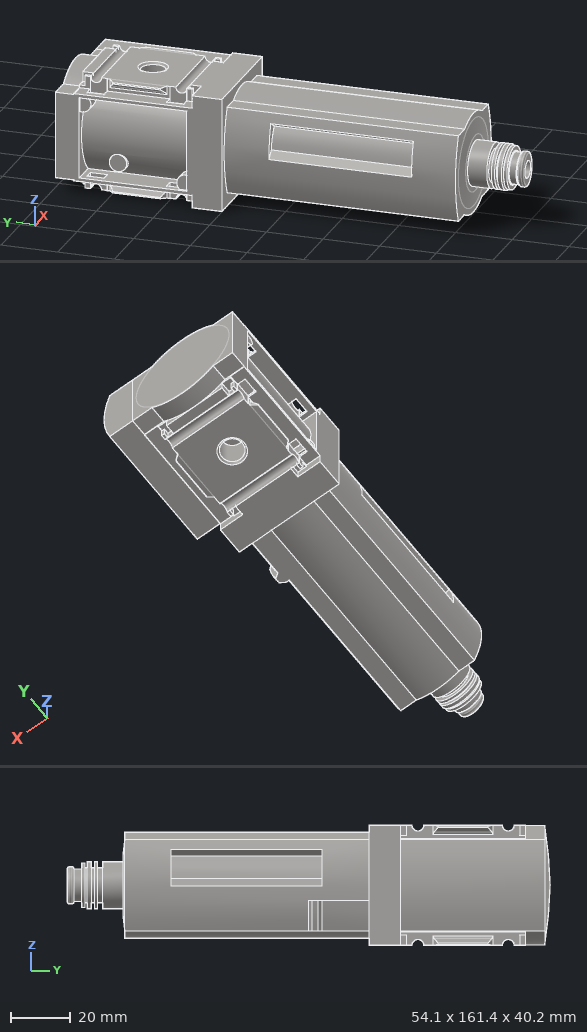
import cadquery as cq


TOTAL_LENGTH = 161.4

HEAD_HALF_WIDTH = 21.0
HEAD_HEIGHT = 40.2
HEAD_HALF_HEIGHT = HEAD_HEIGHT / 2
HEAD_BACK_Y = 58.8
FRONT_BLOCK_DEPTH = 10.5
CAP_THICKNESS = 6.5
CAP_FRONT_Y = HEAD_BACK_Y - CAP_THICKNESS
CAP_RADIUS = 20.0
DOME_HEIGHT = 1.8
DOME_EDGE_RADIUS = 19.5
WAIST_HALF_HEIGHT = 15.7
SIDE_HALF_HEIGHT = 15.3

PORT_Y = (FRONT_BLOCK_DEPTH + CAP_FRONT_Y) / 2
PAD_HALF_WIDTH = 15.2
GROOVE_RADIUS = 2.0
GROOVE_PITCH = 30.2
PORT_DIAMETER = 8.5
PORT_CHAMFER = 0.8
PORT_DEPTH = 12.9
NOTCH_WIDTH = 3.5
NOTCH_FLOOR = 16.6
POST_WIDTH = 1.1
POST_LENGTH = 2.0
WING_REACH = 2.1
WING_LENGTH = 20.0
WING_TAPER = 1.6
WING_TIP_DROP = 0.3
WING_TIP_THICKNESS = 0.5
WING_BEND_REACH = 0.5
WING_BEND_DROP = 2.3
WING_ROOT_DROP = 3.0
SLOT_LENGTH = 6.0
SLOT_OUTER_X = -18.4
SLOT_UNDERCUT = 0.2

POCKET_LENGTH = 38.0
POCKET_HALF_HEIGHT = 14.4
CORE_RADIUS = 18.5
PIN_DIAMETER = 6.1
CORNER_PIN_DY = 18.2
CORNER_PIN_Z = 12.1
CORNER_PIN_END_X = -20.0
MIDDLE_PIN_DY = 6.3
MIDDLE_PIN_Z = -8.5
MIDDLE_PIN_END_X = -17.9
PIN_ROOT_X = -9.7

BOWL_LENGTH = 81.7
BOWL_ROUND_RADIUS = 17.8
BOWL_HALF_WIDTH = 18.5
BOWL_CORNER_X = 15.5
END_CONE_HEIGHT = 0.6
END_CONE_BASE_RADIUS = 15.5
END_CONE_TIP_RADIUS = 9.8
WINDOW_TOP_Y = -15.8
WINDOW_LENGTH = 50.4
WINDOW_FLOOR_RADIUS = 16.3
WINDOW_SECTION = [(-21.0, 14.4), (-13.0, 9.7), (-16.1, 2.3), (-21.0, -2.9)]

LATCH_TOP_Z = -5.2
LATCH_THICKNESS = 1.3
KNOB_HEIGHT = 3.0
KNOB_LENGTH = 4.5
KNOB_TIP_LENGTH = 2.0

NIPPLE_TIP_Y = HEAD_BACK_Y + DOME_HEIGHT - TOTAL_LENGTH
COLLAR_DIAMETER = 15.8
COLLAR_END_Y = -89.1
NECK_DIAMETER = 11.8
NECK_END_Y = -96.2
STEM_DIAMETER = 11.0
STEM_END_Y = -98.6
TIP_WIDTH = 10.0
TIP_HEIGHT = 12.5
TIP_FILLET = 0.6
BORE_DIAMETER = 6.0
BORE_DEPTH = 6.5
NECK_RINGS = [(-90.7, 1.1, 15.8), (-92.8, 1.5, 15.8), (-94.9, 1.1, 15.0)]

COVER_CORNER_X = 30.7
COVER_MAX_X = 33.1


def box(x0, x1, y0, y1, z0, z1):
    """Box between two opposite corners."""
    return cq.Workplane("XY").box(x1 - x0, y1 - y0, z1 - z0, centered=False).translate((x0, y0, z0))


def along_y(y):
    """Sketch plane at height y whose extrusions run towards +Y; its second axis is -Z."""
    return cq.Workplane("XZ", origin=(0, y, 0)).transformed(rotate=(180, 0, 0))


def disc(diameter, y0, y1):
    """Cylinder on the bowl axis from y0 up to y1."""
    return along_y(y0).circle(diameter / 2).extrude(y1 - y0)


def on_both_ports(shape):
    """The shape on the +Z pad together with its mirror image on the -Z pad."""
    return shape.union(shape.mirror("XY"))


def at_corners(shape):
    """The shape and its mirror images about the middle of the pad in X and Y."""
    pair = shape.union(shape.mirror("YZ"))
    return pair.union(pair.mirror("XZ", (0, PORT_Y, 0)))


def head_box(y0, y1, half_height):
    """Box over the full width of the head."""
    return box(-HEAD_HALF_WIDTH, HEAD_HALF_WIDTH, y0, y1, -half_height, half_height)


def make_head_block():
    """Front block, narrower waist and domed cap."""
    block = head_box(0, FRONT_BLOCK_DEPTH, HEAD_HALF_HEIGHT)
    waist = head_box(FRONT_BLOCK_DEPTH, CAP_FRONT_Y, WAIST_HALF_HEIGHT)
    cap = head_box(CAP_FRONT_Y, HEAD_BACK_Y, SIDE_HALF_HEIGHT)
    cap = cap.union(disc(2 * CAP_RADIUS, CAP_FRONT_Y, HEAD_BACK_Y))
    dome_radius = (DOME_EDGE_RADIUS**2 + DOME_HEIGHT**2) / (2 * DOME_HEIGHT)
    dome_top_y = HEAD_BACK_Y + DOME_HEIGHT
    dome = cq.Workplane("XY").sphere(dome_radius).translate((0, dome_top_y - dome_radius, 0))
    dome = dome.intersect(disc(2 * DOME_EDGE_RADIUS, HEAD_BACK_Y, dome_top_y))
    return block.union(waist).union(cap).union(dome)


def make_wing():
    """Dovetail wing on the -X edge of the +Z pad, tapered at both ends."""
    root_x = -PAD_HALF_WIDTH
    tip_x = root_x - WING_REACH
    section = [
        (root_x, HEAD_HALF_HEIGHT),
        (tip_x, HEAD_HALF_HEIGHT - WING_TIP_DROP),
        (tip_x, HEAD_HALF_HEIGHT - WING_TIP_DROP - WING_TIP_THICKNESS),
        (root_x - WING_BEND_REACH, HEAD_HALF_HEIGHT - WING_BEND_DROP),
        (root_x, HEAD_HALF_HEIGHT - WING_ROOT_DROP),
    ]
    half = WING_LENGTH / 2
    prism = cq.Workplane("XZ").polyline(section).close().extrude(half, both=True)
    plan = [(root_x, -half), (tip_x, -half + WING_TAPER), (tip_x, half - WING_TAPER), (root_x, half)]
    outline = cq.Workplane("XY").polyline(plan).close().extrude(HEAD_HALF_HEIGHT)
    return prism.intersect(outline).translate((0, PORT_Y, 0))


def make_pad():
    """Port pad on the +Z face, with notched corners, two cross grooves and a wing on each side."""
    pad = box(-PAD_HALF_WIDTH, PAD_HALF_WIDTH, FRONT_BLOCK_DEPTH, CAP_FRONT_Y, 0, HEAD_HALF_HEIGHT)
    groove_y = PORT_Y + GROOVE_PITCH / 2
    notch_y = groove_y + GROOVE_RADIUS
    notch = box(-PAD_HALF_WIDTH, NOTCH_WIDTH - PAD_HALF_WIDTH, notch_y, CAP_FRONT_Y,
                NOTCH_FLOOR, HEAD_HALF_HEIGHT)
    post = box(-PAD_HALF_WIDTH, POST_WIDTH - PAD_HALF_WIDTH, notch_y, notch_y + POST_LENGTH,
               NOTCH_FLOOR, HEAD_HALF_HEIGHT)
    pad = pad.cut(at_corners(notch.cut(post)))
    for y in (groove_y, groove_y - GROOVE_PITCH):
        groove = cq.Workplane("YZ", origin=(-PAD_HALF_WIDTH, y, HEAD_HALF_HEIGHT)).circle(GROOVE_RADIUS)
        pad = pad.cut(groove.extrude(2 * PAD_HALF_WIDTH))
    wing = make_wing()
    return pad.union(wing).union(wing.mirror("YZ"))


def make_port():
    """Blind port bore with a chamfered mouth, opening at the +Z pad."""
    top = cq.Workplane("XY", origin=(0, PORT_Y, HEAD_HALF_HEIGHT))
    bore = top.circle(PORT_DIAMETER / 2).extrude(-PORT_DEPTH)
    mouth = top.circle(PORT_DIAMETER / 2 + PORT_CHAMFER).extrude(-PORT_CHAMFER, taper=45)
    return bore.union(mouth)


def make_slots():
    """Two slots through the wall over the pocket, beside the grooves on the -X side."""
    slot_end_y = PORT_Y + GROOVE_PITCH / 2 + GROOVE_RADIUS
    slot = box(SLOT_OUTER_X, SLOT_UNDERCUT - PAD_HALF_WIDTH, slot_end_y - SLOT_LENGTH, slot_end_y,
               POCKET_HALF_HEIGHT, HEAD_HALF_HEIGHT)
    return slot.union(slot.mirror("XZ", (0, PORT_Y, 0)))


def make_pin(y, z, end_x):
    """Round stub pointing towards -X inside the pocket."""
    return cq.Workplane("YZ", origin=(end_x, y, z)).circle(PIN_DIAMETER / 2).extrude(PIN_ROOT_X - end_x)


def make_pocket():
    """Space of the -X pocket: a box less the round core and the pins standing in it."""
    y0 = PORT_Y - POCKET_LENGTH / 2
    y1 = y0 + POCKET_LENGTH
    pocket = box(-HEAD_HALF_WIDTH, PIN_ROOT_X, y0, y1, -POCKET_HALF_HEIGHT, POCKET_HALF_HEIGHT)
    pocket = pocket.cut(disc(2 * CORE_RADIUS, y0, y1))
    pins = [
        make_pin(PORT_Y + CORNER_PIN_DY, CORNER_PIN_Z, CORNER_PIN_END_X),
        make_pin(PORT_Y - CORNER_PIN_DY, -CORNER_PIN_Z, CORNER_PIN_END_X),
        make_pin(PORT_Y + MIDDLE_PIN_DY, MIDDLE_PIN_Z, MIDDLE_PIN_END_X),
    ]
    for pin in pins:
        pocket = pocket.cut(pin)
    return pocket


def make_window():
    """Sight window in the -X side of the bowl, with slanted long walls and a round floor."""
    plane = cq.Workplane("XZ", origin=(0, WINDOW_TOP_Y, 0))
    window = plane.polyline(WINDOW_SECTION).close().extrude(WINDOW_LENGTH)
    return window.cut(disc(2 * WINDOW_FLOOR_RADIUS, WINDOW_TOP_Y - WINDOW_LENGTH, WINDOW_TOP_Y))


def side_arc_radius():
    """Radius of the shallow arcs that form the +X and -X sides of the bowl."""
    rise = BOWL_HALF_WIDTH - BOWL_CORNER_X
    return (SIDE_HALF_HEIGHT**2 + rise**2) / (2 * rise)


def make_bowl():
    """Bowl with bulged sides, a round belly, a sight window on each side and a conical end."""
    bowl = (
        cq.Workplane("XZ")
        .moveTo(-BOWL_CORNER_X, SIDE_HALF_HEIGHT)
        .lineTo(BOWL_CORNER_X, SIDE_HALF_HEIGHT)
        .threePointArc((BOWL_HALF_WIDTH, 0), (BOWL_CORNER_X, -SIDE_HALF_HEIGHT))
        .lineTo(-BOWL_CORNER_X, -SIDE_HALF_HEIGHT)
        .threePointArc((-BOWL_HALF_WIDTH, 0), (-BOWL_CORNER_X, SIDE_HALF_HEIGHT))
        .close()
        .extrude(BOWL_LENGTH)
    )
    bowl = bowl.union(disc(2 * BOWL_ROUND_RADIUS, -BOWL_LENGTH, 0))
    window = make_window()
    bowl = bowl.cut(window).cut(window.mirror("YZ"))
    cone_tip_y = -BOWL_LENGTH - END_CONE_HEIGHT
    cone = (
        cq.Workplane("XY")
        .polyline([(0, -BOWL_LENGTH), (END_CONE_BASE_RADIUS, -BOWL_LENGTH), (END_CONE_TIP_RADIUS, cone_tip_y),
                   (0, cone_tip_y)])
        .close()
        .revolve(360, (0, 0), (0, 1))
    )
    return bowl.union(cone)


def make_latch():
    """Latch strip lying on the +X side of the bowl, ending in a raised knob."""
    radius = side_arc_radius()
    centre_x = BOWL_HALF_WIDTH - radius
    strip_x = BOWL_HALF_WIDTH + LATCH_THICKNESS
    knob_x = BOWL_HALF_WIDTH + KNOB_HEIGHT
    knob_end_y = WINDOW_TOP_Y - KNOB_LENGTH
    slope = (KNOB_LENGTH - KNOB_TIP_LENGTH) / 2
    profile = [
        (BOWL_CORNER_X, 0), (strip_x, 0), (strip_x, WINDOW_TOP_Y), (knob_x, WINDOW_TOP_Y - slope),
        (knob_x, knob_end_y + slope), (strip_x, knob_end_y), (BOWL_CORNER_X, knob_end_y),
    ]
    ring = cq.Workplane("XY").polyline(profile).close().revolve(360, (centre_x, 0), (centre_x, 1))
    return ring.intersect(box(0, knob_x, knob_end_y, 0, -SIDE_HALF_HEIGHT, LATCH_TOP_Z))


def make_nipple():
    """Drain nipple: collar, ringed neck, stem and a rounded oval tip with a bore."""
    nipple = disc(COLLAR_DIAMETER, COLLAR_END_Y, -BOWL_LENGTH)
    nipple = nipple.union(disc(NECK_DIAMETER, NECK_END_Y, COLLAR_END_Y))
    for start_y, thickness, diameter in NECK_RINGS:
        nipple = nipple.union(disc(diameter, start_y - thickness, start_y))
    nipple = nipple.union(disc(STEM_DIAMETER, STEM_END_Y, NECK_END_Y))
    tip = along_y(NIPPLE_TIP_Y).ellipse(TIP_WIDTH / 2, TIP_HEIGHT / 2).extrude(STEM_END_Y - NIPPLE_TIP_Y)
    tip = tip.edges().fillet(TIP_FILLET)
    return nipple.union(tip).cut(disc(BORE_DIAMETER, NIPPLE_TIP_Y, NIPPLE_TIP_Y + BORE_DEPTH))


def make_housing():
    """Head, bowl, latch and drain nipple as one solid."""
    housing = make_head_block().union(on_both_ports(make_pad()))
    for cutter in (make_port(), make_slots()):
        housing = housing.cut(on_both_ports(cutter))
    housing = housing.cut(make_pocket())
    return housing.union(make_bowl()).union(make_latch()).union(make_nipple())


def make_cover():
    """Cover with a bulged outer face, lying against the +X side of the head."""
    return (
        along_y(FRONT_BLOCK_DEPTH)
        .moveTo(HEAD_HALF_WIDTH, -SIDE_HALF_HEIGHT)
        .lineTo(COVER_CORNER_X, -SIDE_HALF_HEIGHT)
        .threePointArc((COVER_MAX_X, 0), (COVER_CORNER_X, SIDE_HALF_HEIGHT))
        .lineTo(HEAD_HALF_WIDTH, SIDE_HALF_HEIGHT)
        .close()
        .extrude(HEAD_BACK_Y - FRONT_BLOCK_DEPTH)
    )


housing = make_housing()
cover = make_cover()
result = cq.Compound.makeCompound([housing.val(), cover.val()])